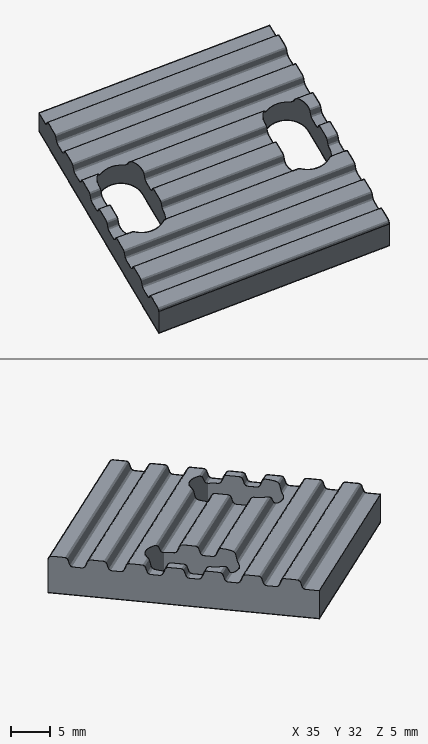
import cadquery as cq
import math

length = 35.0
width = 32.0
height = 5.0

pitch_count = 7
pitch = length / pitch_count
tooth_depth = 1.2
tip_flat = 1.58
first_tooth_center = 3.68
flank_angle = math.radians(20)
blend_radius = 0.52

slot_length = 12.0
slot_width = 6.0
slot_spacing = 23.0

root_height = height - tooth_depth

half_turn = (math.pi / 2 - flank_angle) / 2

corner_offset = blend_radius * math.tan(half_turn)
flank_run = 2 * corner_offset + tooth_depth * math.tan(flank_angle)

arc_run = blend_radius * math.cos(flank_angle)
arc_drop = blend_radius * (1 - math.sin(flank_angle))

mid_run = blend_radius * math.sin(half_turn)
mid_drop = blend_radius * (1 - math.cos(half_turn))


def add_tooth(outline, center):
    """Continue the outline over one tooth, from the root up to the tip and down again."""
    tip = tip_flat / 2
    foot = tip + flank_run
    return (
        outline
        .lineTo(center - foot, root_height)
        .threePointArc(
            (center - foot + mid_run, root_height + mid_drop),
            (center - foot + arc_run, root_height + arc_drop),
        )
        .lineTo(center - tip - arc_run, height - arc_drop)
        .threePointArc((center - tip - mid_run, height - mid_drop), (center - tip, height))
        .lineTo(center + tip, height)
        .threePointArc(
            (center + tip + mid_run, height - mid_drop),
            (center + tip + arc_run, height - arc_drop),
        )
        .lineTo(center + foot - arc_run, root_height + arc_drop)
        .threePointArc(
            (center + foot - mid_run, root_height + mid_drop),
            (center + foot, root_height),
        )
    )


def make_toothed_bar():
    """Extrude the toothed profile along Y; it runs on to the foot of the last tooth."""
    outline = cq.Workplane("XZ").moveTo(0, 0).lineTo(0, root_height)
    for index in range(pitch_count):
        outline = add_tooth(outline, first_tooth_center + index * pitch)
    last_foot = first_tooth_center + (pitch_count - 1) * pitch + tip_flat / 2 + flank_run
    return outline.lineTo(last_foot, 0).close().extrude(width / 2, both=True)


def make_plate():
    """Trim the bar to length, which cuts the last tooth's flank off square."""
    envelope = cq.Workplane("XY").box(length, width, height, centered=(False, True, False))
    return make_toothed_bar().intersect(envelope).translate((-length / 2, 0, 0))


def make_slots():
    """Two through slots, long in X, spaced evenly about the middle of the plate."""
    return (
        cq.Workplane("XY")
        .pushPoints([(0, -slot_spacing / 2), (0, slot_spacing / 2)])
        .slot2D(slot_length, slot_width)
        .extrude(height)
    )


result = make_plate().cut(make_slots())